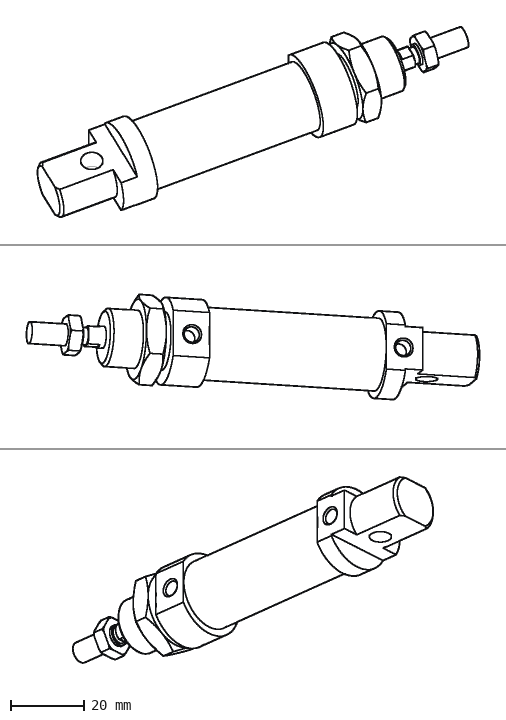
import cadquery as cq
import math


total_length = 126.0
cap_length = 10.3
rear_cap_start = 17.0
front_cap_end = 88.0
nose_end = 105.0

tube_diameter = 20.0
cap_diameter = 24.1
cap_flat_offset = 10.2
spigot_diameter = 16.0
spigot_chamfer = 0.82

lug_thickness = 12.0
lug_flat_length = 21.9
pivot_hole_diameter = 6.0
pivot_hole_y = 13.1

port_diameter = 4.3
port_mouth_diameter = 5.3
port_depth = 5.0
port_inset = 4.9

rod_diameter = 6.0
rod_groove_diameter = 4.8
rod_groove_start = 109.9
rod_groove_end = 111.4
wrench_flat_start = 106.5
wrench_flat_spacing = 5.0

mounting_nut_width = 22.0
mounting_nut_length = 5.7
mounting_nut_start = 90.1
rod_nut_width = 10.0
rod_nut_length = 3.7
rod_nut_start = 112.1
rod_nut_face_diameter = 10.6
nut_chamfer_angle = 30.0

front_cap_start = front_cap_end - cap_length
rear_cap_end = rear_cap_start + cap_length


def cylinder(diameter, start, end):
    """Round bar on the Y axis between two stations."""
    circle = cq.Workplane("XZ", origin=(0, start, 0)).circle(diameter / 2)
    return circle.extrude(start - end)


def slab_pair(inner_spacing, start, end):
    """Two blocks above and below the axis, used to cut a pair of flats."""
    reach = cap_diameter
    block = cq.Workplane("XY").box(2 * reach, end - start, reach, centered=(True, False, False))
    upper = block.translate((0, start, inner_spacing / 2))
    return upper.union(upper.mirror("XY"))


def make_cap(start):
    """End cap with one flat on its -X side."""
    cap = cylinder(cap_diameter, start, start + cap_length)
    flat_cut = cq.Workplane("XY").box(cap_diameter, cap_length, cap_diameter, centered=(True, False, True))
    return cap.cut(flat_cut.translate((-cap_flat_offset - cap_diameter / 2, start, 0)))


def make_port(y):
    """Blind air port with a countersunk mouth, drilled in from the -X flat."""
    mouth_depth = (port_mouth_diameter - port_diameter) / 2
    drill = cq.Workplane("YZ", origin=(-cap_flat_offset, y, 0)).circle(port_diameter / 2).extrude(port_depth)
    mouth = cq.Solid.makeCone(
        port_mouth_diameter / 2,
        port_diameter / 2,
        mouth_depth,
        pnt=cq.Vector(-cap_flat_offset, y, 0),
        dir=cq.Vector(1, 0, 0),
    )
    return drill.union(cq.Workplane(mouth))


def make_housing():
    """Tube, both end caps, rear lug and front nose in one piece."""
    spigot = cylinder(spigot_diameter, 0, nose_end).faces("<Y or >Y").chamfer(spigot_chamfer)
    housing = spigot.union(cylinder(tube_diameter, rear_cap_start, front_cap_end))
    for cap_start in (rear_cap_start, front_cap_start):
        housing = housing.union(make_cap(cap_start))
    housing = housing.cut(slab_pair(lug_thickness, 0, lug_flat_length))
    for port_y in (rear_cap_end - port_inset, front_cap_start + port_inset):
        housing = housing.cut(make_port(port_y))
    pivot_hole = cq.Workplane("XY").center(0, pivot_hole_y).circle(pivot_hole_diameter / 2)
    return housing.cut(pivot_hole.extrude(lug_thickness, both=True))


def make_rod():
    """Piston rod standing on the nose, with wrench flats and a groove."""
    rod = cylinder(rod_diameter, nose_end, rod_groove_start)
    rod = rod.cut(slab_pair(wrench_flat_spacing, wrench_flat_start, rod_groove_start))
    rod = rod.union(cylinder(rod_groove_diameter, rod_groove_start, rod_groove_end))
    return rod.union(cylinder(rod_diameter, rod_groove_end, total_length))


def make_nut(width, length, start, face_diameter, bore_diameter, turn):
    """Hexagon nut with conical corner chamfers at both ends, turned about Y."""
    corner_diameter = width / math.cos(math.radians(30))
    corner_radius = corner_diameter / 2
    chamfer_length = (corner_radius - face_diameter / 2) * math.tan(math.radians(nut_chamfer_angle))
    end = start + length
    hexagon = cq.Workplane("XZ", origin=(0, start, 0)).polygon(6, corner_diameter).extrude(-length)
    hexagon = hexagon.rotate((0, 0, 0), (0, 1, 0), turn)
    envelope = (
        cq.Workplane("XY")
        .polyline([
            (0, start),
            (face_diameter / 2, start),
            (corner_radius, start + chamfer_length),
            (corner_radius, end - chamfer_length),
            (face_diameter / 2, end),
            (0, end),
        ])
        .close()
        .revolve(360, (0, 0, 0), (0, 1, 0))
    )
    return hexagon.intersect(envelope).cut(cylinder(bore_diameter, start, end))


housing = make_housing()
rod = make_rod()
mounting_nut = make_nut(
    mounting_nut_width, mounting_nut_length, mounting_nut_start, mounting_nut_width, spigot_diameter, turn=30
)
rod_nut = make_nut(rod_nut_width, rod_nut_length, rod_nut_start, rod_nut_face_diameter, rod_diameter, turn=0)

result = cq.Compound.makeCompound([housing.val(), rod.val(), mounting_nut.val(), rod_nut.val()])